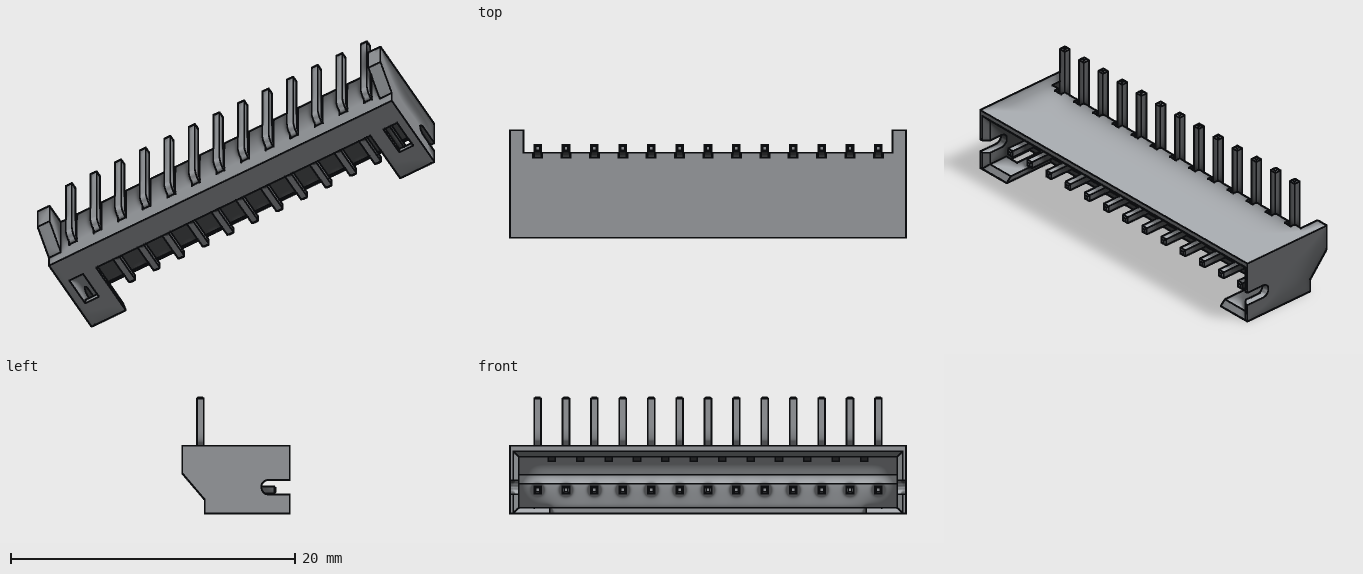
import cadquery as cq

WIDTH = 27.9
HEIGHT = 4.8
BODY_DEPTH = 6.0
LEG_DEPTH = 7.6
LEG_THICKNESS = 0.98
LEG_STEP_HEIGHT = 0.98
LEG_REAR_HEIGHT = 2.85

SIDE_WALL = 0.6
FLOOR = 0.42
CEILING_WALL = 0.78
CEILING = HEIGHT - CEILING_WALL
MOUTH_CHAMFER = 0.4
BLOCK_FRONT = 4.7
BLOCK_HEIGHT = 2.12
SLOPE_RISE = 0.6
BACK_WALL = BLOCK_FRONT + SLOPE_RISE

TAB_WIDTH = 2.8
FLOOR_OPENING_REAR = 4.18
WINDOW_FRONT = 1.95
WINDOW_WIDTH = 1.12
SLOT_DEPTH = 2.0
SLOT_WIDTH = 1.0
SLOT_CENTER_HEIGHT = 1.87

PIN_COUNT = 13
ROW_LENGTH = 24.0
PITCH = ROW_LENGTH / (PIN_COUNT - 1)
PIN_SIZE = 0.5
PIN_HEIGHT = 1.67
PIN_TIP = 1.0
PIN_TOP = 8.2
PIN_REAR = 6.55
BEND_RADIUS = 0.5
PIN_CHAMFER = 0.1
NOTCH_WIDTH = 0.67
NOTCH_FRONT = 5.64

GUSSET_WIDTH = 0.5
GUSSET_SIZE = 0.33

PIN_XS = [WIDTH / 2 + (i - (PIN_COUNT - 1) / 2) * PITCH for i in range(PIN_COUNT)]
GUSSET_XS = [x + PITCH / 2 for x in PIN_XS[:-1]]


def box(x0, x1, y0, y1, z0, z1):
    """Box between two opposite corners."""
    return cq.Workplane("XY").box(x1 - x0, y1 - y0, z1 - z0, centered=False).translate((x0, y0, z0))


def side_profile(x0):
    """Sketch plane at x0 with local axes Y and Z; extrudes toward +X."""
    return cq.Workplane("YZ", origin=(x0, 0, 0))


def end_plate(x0):
    """End wall whose rear leg reaches past the body."""
    outline = [
        (0, 0),
        (BODY_DEPTH, 0),
        (BODY_DEPTH, LEG_STEP_HEIGHT),
        (LEG_DEPTH, LEG_REAR_HEIGHT),
        (LEG_DEPTH, HEIGHT),
        (0, HEIGHT),
    ]
    return side_profile(x0).polyline(outline).close().extrude(LEG_THICKNESS)


def cavity():
    """Mating cavity, ending at the pin block and the back wall above it."""
    outline = [
        (0, FLOOR),
        (BLOCK_FRONT, FLOOR),
        (BLOCK_FRONT, BLOCK_HEIGHT),
        (BACK_WALL, BLOCK_HEIGHT + SLOPE_RISE),
        (BACK_WALL, CEILING),
        (0, CEILING),
    ]
    return side_profile(SIDE_WALL).polyline(outline).close().extrude(WIDTH - 2 * SIDE_WALL)


def mouth_chamfer():
    """45 degree lead-in around the cavity mouth."""
    width = WIDTH - 2 * SIDE_WALL
    height = CEILING - FLOOR
    return (
        cq.Workplane("XZ", origin=(WIDTH / 2, 0, FLOOR + height / 2))
        .rect(width + 2 * MOUTH_CHAMFER, height + 2 * MOUTH_CHAMFER)
        .workplane(offset=-MOUTH_CHAMFER)
        .rect(width, height)
        .loft()
    )


def floor_openings():
    """Wide central cutout plus a window beside each side wall."""
    openings = box(TAB_WIDTH, WIDTH - TAB_WIDTH, 0, FLOOR_OPENING_REAR, 0, FLOOR)
    for x0 in (SIDE_WALL, WIDTH - SIDE_WALL - WINDOW_WIDTH):
        openings = openings.union(
            box(x0, x0 + WINDOW_WIDTH, WINDOW_FRONT, FLOOR_OPENING_REAR, 0, FLOOR)
        )
    return openings


def side_slots():
    """Round-ended slot through both side walls, open at the front."""
    radius = SLOT_WIDTH / 2
    bottom = SLOT_CENTER_HEIGHT - radius
    top = SLOT_CENTER_HEIGHT + radius
    return (
        side_profile(0)
        .moveTo(0, bottom)
        .lineTo(SLOT_DEPTH - radius, bottom)
        .threePointArc((SLOT_DEPTH, SLOT_CENTER_HEIGHT), (SLOT_DEPTH - radius, top))
        .lineTo(0, top)
        .close()
        .extrude(WIDTH)
    )


def gusset(x):
    """Small 45 degree wedge between the ceiling and the back wall."""
    outline = [
        (BACK_WALL, CEILING),
        (BACK_WALL - GUSSET_SIZE, CEILING),
        (BACK_WALL, CEILING - GUSSET_SIZE),
    ]
    return side_profile(x - GUSSET_WIDTH / 2).polyline(outline).close().extrude(GUSSET_WIDTH)


def pin_notch(x):
    """Rear wall notch that clears the bend of a pin."""
    half = NOTCH_WIDTH / 2
    return box(x - half, x + half, NOTCH_FRONT, BODY_DEPTH, PIN_HEIGHT - PIN_SIZE / 2, HEIGHT)


def pin(x):
    """Square pin: mating leg along Y, bent up into a leg along Z."""
    bottom = PIN_HEIGHT - PIN_SIZE / 2
    top = bottom + PIN_SIZE
    front = PIN_REAR - PIN_SIZE
    outer_radius = BEND_RADIUS + PIN_SIZE
    bend_y = front - BEND_RADIUS
    bend_z = top + BEND_RADIUS
    return (
        side_profile(x - PIN_SIZE / 2)
        .moveTo(PIN_TIP, bottom)
        .lineTo(bend_y, bottom)
        .radiusArc((PIN_REAR, bend_z), -outer_radius)
        .lineTo(PIN_REAR, PIN_TOP)
        .lineTo(front, PIN_TOP)
        .lineTo(front, bend_z)
        .radiusArc((bend_y, top), BEND_RADIUS)
        .lineTo(PIN_TIP, top)
        .close()
        .extrude(PIN_SIZE)
        .faces("<Y or >Z")
        .chamfer(PIN_CHAMFER)
    )


result = box(0, WIDTH, 0, BODY_DEPTH, 0, HEIGHT)
for plate_x in (0, WIDTH - LEG_THICKNESS):
    result = result.union(end_plate(plate_x))
for cutter in (cavity(), mouth_chamfer(), floor_openings(), side_slots()):
    result = result.cut(cutter)
for gusset_x in GUSSET_XS:
    result = result.union(gusset(gusset_x))
for pin_x in PIN_XS:
    result = result.cut(pin_notch(pin_x)).union(pin(pin_x))